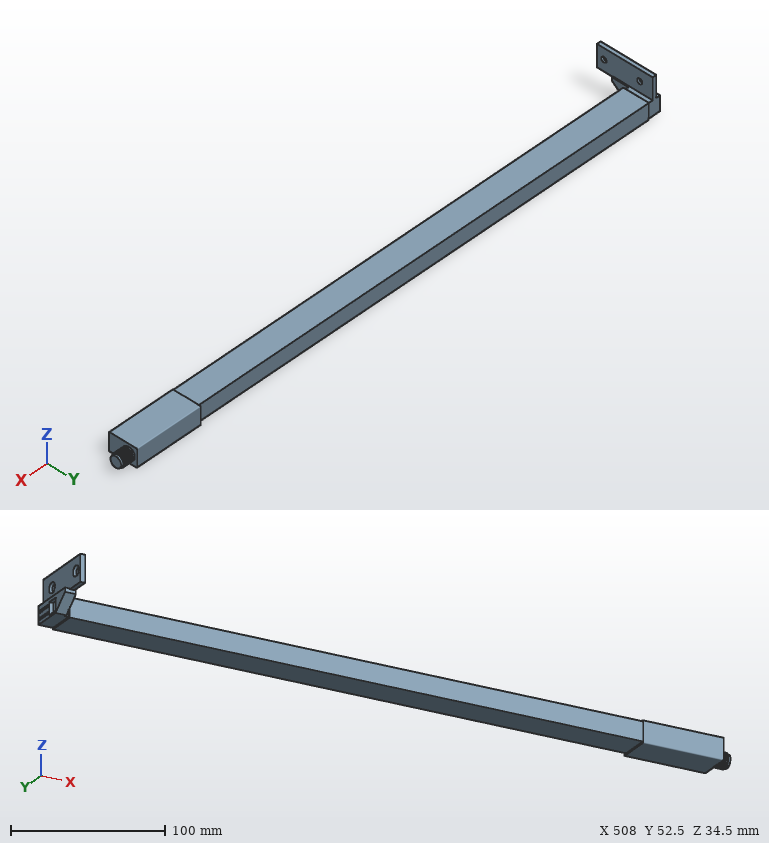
import cadquery as cq

overall_length = 508.0

tube_start = 10.5
tube_width = 23.0
tube_height = 14.0

sleeve_length = 60.0
sleeve_end = 496.0
sleeve_start = sleeve_end - sleeve_length
sleeve_overhang_y = 2.5
sleeve_overhang_z = 1.0
sleeve_width = tube_width + sleeve_overhang_y
sleeve_height = tube_height + 2 * sleeve_overhang_z
sleeve_fillet = 0.75

thread_diameter = 11.0
thread_length = 10.0
tip_diameter = 9.5
ring_groove_count = 4
ring_groove_width = 1.0
ring_groove_depth = 0.5
connector_y = -5.0
connector_z = -tube_height / 2

plate_length = 50.0
plate_height = 20.0
plate_thickness = 3.5
plate_x = 3.5
plate_bottom = -0.5
hole_spacing = 32.0
first_hole_y = -11.5
hole_diameter = 4.5
countersink_diameter = 7.5

block_thickness = 8.0
block_width = 35.5
block_bottom_width = 23.0
block_height = 13.0
block_lower_edge = 3.0
neck_width = 21.0

pocket_width = 8.5
pocket_height = 9.0
pocket_y = -19.0
pocket_depth = 3.0
slot_length = 12.0
slot_height = 1.5
slot_offset = 2.5
slot_y = -7.0
slot_depth = 3.0


def box(x, y, z, length, width, height):
    """Box from its low X, high Y and low Z corner."""
    return cq.Workplane("XY").box(length, width, height, centered=False).translate((x, y - width, z))


def make_tube():
    return box(tube_start, 0, -tube_height, sleeve_start - tube_start, tube_width, tube_height)


def make_sleeve():
    bottom = -tube_height - sleeve_overhang_z
    sleeve = box(sleeve_start, sleeve_overhang_y, bottom, sleeve_length, sleeve_width, sleeve_height)
    return sleeve.edges("|X").fillet(sleeve_fillet)


def make_connector():
    base = cq.Workplane("YZ", origin=(sleeve_end, connector_y, connector_z))
    connector = base.circle(thread_diameter / 2).extrude(thread_length)
    tip = base.circle(tip_diameter / 2).extrude(overall_length - sleeve_end)
    connector = connector.union(tip)
    pitch = thread_length / (ring_groove_count + 1)
    for index in range(ring_groove_count):
        offset = (index + 1) * pitch - ring_groove_width / 2
        ring = (
            base.workplane(offset=offset)
            .circle(thread_diameter / 2)
            .circle(thread_diameter / 2 - ring_groove_depth)
            .extrude(ring_groove_width)
        )
        connector = connector.cut(ring)
    return connector


def make_plate():
    plate = box(plate_x, 0, plate_bottom, plate_thickness, plate_length, plate_height)
    hole_z = plate_bottom + plate_height / 2
    for hole_y in (first_hole_y, first_hole_y - hole_spacing):
        face = cq.Workplane("YZ", origin=(plate_x, hole_y, hole_z))
        hole = face.circle(hole_diameter / 2).extrude(plate_thickness)
        sink_depth = (countersink_diameter - hole_diameter) / 2
        sink = (
            face.circle(countersink_diameter / 2)
            .workplane(offset=sink_depth)
            .circle(hole_diameter / 2)
            .loft()
        )
        plate = plate.cut(hole).cut(sink)
    return plate


def make_end_block():
    block = (
        cq.Workplane("YZ")
        .moveTo(0, 0)
        .lineTo(0, -block_height)
        .lineTo(-block_bottom_width, -block_height)
        .lineTo(-block_width, -block_lower_edge)
        .lineTo(-block_width, 0)
        .close()
        .extrude(block_thickness)
    )
    neck = box(block_thickness, 0, -block_height, tube_start - block_thickness, neck_width, block_height)
    middle = -tube_height / 2
    pocket = box(0, pocket_y + pocket_width / 2, middle - pocket_height / 2,
                 pocket_depth, pocket_width, pocket_height)
    block = block.union(neck).cut(pocket)
    for slot_z in (middle - slot_offset, middle + slot_offset):
        slot = box(0, slot_y + slot_length / 2, slot_z - slot_height / 2,
                   slot_depth, slot_length, slot_height)
        block = block.cut(slot)
    return block


def make_bracket():
    return make_end_block().union(make_plate())


tube = make_tube()
sleeve = make_sleeve()
connector = make_connector()
bracket = make_bracket()

result = cq.Compound.makeCompound([tube.val(), sleeve.val(), connector.val(), bracket.val()])